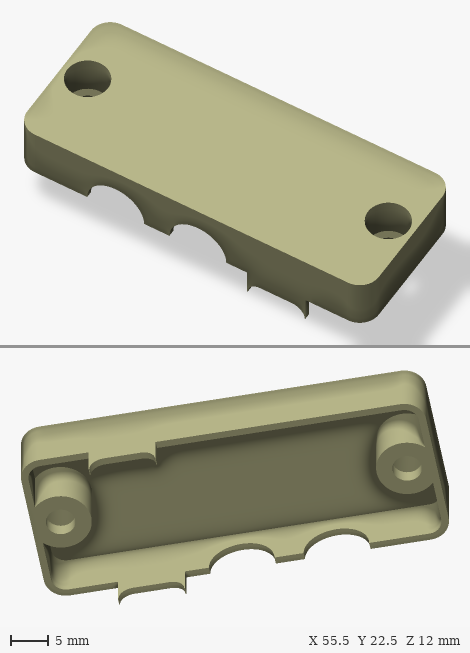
import cadquery as cq

length = 55.5
width = 22.5
height = 8.0
corner_radius = 3.0
wall = 1.0
overlap = 0.55

screw_spacing = 47.5
screw_y = 0.8
screw_diameter = 4.0
head_diameter = 6.4
seat_thickness = 2.0
boss_diameter = head_diameter + 2 * wall

notch_radius = 4.5
notch_centers_x = (-12.0, 1.0)

tab_x = 13.4
tab_width = 9.2
tab_drop = 4.0
opening_width = 9.0
opening_radius = 2.0


def rounded_block(inset, block_height):
    """Upright block with rounded corners, set in from the outline of the cover."""
    return (
        cq.Workplane("XY")
        .rect(length - 2 * inset, width - 2 * inset)
        .extrude(block_height)
        .edges("|Z")
        .fillet(corner_radius - inset)
    )


def screw_cylinders(diameter, bottom, top):
    """One upright cylinder at each screw position."""
    return (
        cq.Workplane("XY", origin=(0, screw_y, bottom))
        .rarray(screw_spacing, 0.55, 2, 1)
        .circle(diameter / 2)
        .extrude(top - bottom)
    )


def screw_bosses():
    """Bosses around the screw holes, trimmed to the outline of the cover."""
    return screw_cylinders(boss_diameter, 0, height).intersect(rounded_block(0, height))


def cable_notches():
    """Cylinders along Y through the -Y wall, centred on the bottom edge."""
    centers = [(x, 0) for x in notch_centers_x]
    return (
        cq.Workplane("XZ", origin=(0, wall - width / 2, 0))
        .pushPoints(centers)
        .circle(notch_radius)
        .extrude(wall + overlap)
    )


def wall_tab(outer_y, inward):
    """Tab flush with the outside of a long wall; inward is the sign of Y into the part."""
    return (
        cq.Workplane("XY", origin=(tab_x, outer_y + inward * wall / 2, -tab_drop))
        .rect(tab_width, wall)
        .extrude(tab_drop + overlap)
    )


def tab_openings():
    """Bar along Y with rounded top edges; its arch ends at the tips of both tabs."""
    return (
        cq.Workplane("XY")
        .box(opening_width, width + 2 * overlap, 2 * opening_radius + overlap)
        .edges("|Y and >Z")
        .fillet(opening_radius)
        .translate((tab_x, 0, -tab_drop - overlap / 2))
    )


result = rounded_block(0, height).cut(rounded_block(wall, height - wall))
result = result.union(screw_bosses())
result = result.cut(screw_cylinders(screw_diameter, -overlap, height))
result = result.cut(screw_cylinders(head_diameter, seat_thickness, height + overlap))
result = result.cut(cable_notches())
for side in (-1, 1):
    result = result.union(wall_tab(side * width / 2, -side))
result = result.cut(tab_openings())